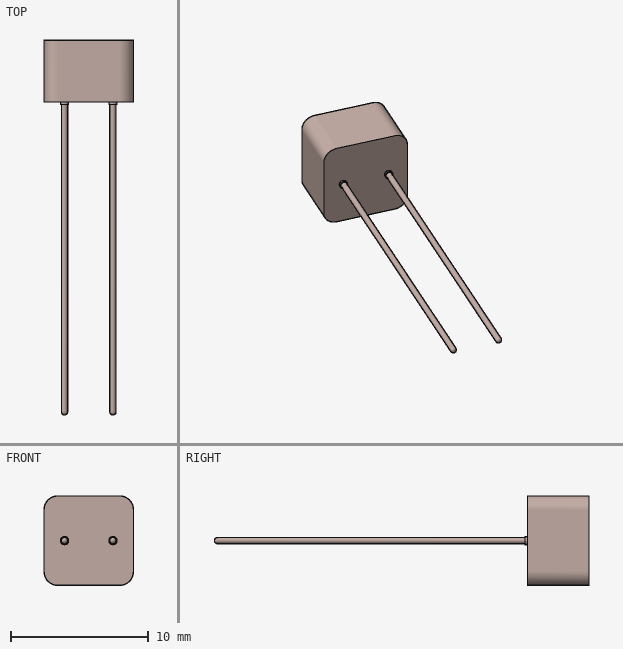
import cadquery as cq

total_length = 27.25
body_side = 6.5
body_depth = 4.5
body_corner_radius = 1.0

lead_diameter = 0.45
lead_spacing = 3.52
collar_diameter = 0.6
collar_length = 0.15

lead_radius = lead_diameter / 2
collar_radius = collar_diameter / 2
body_front_y = total_length / 2 - body_depth
collar_end_y = body_front_y - collar_length
lead_end_y = -total_length / 2
dome_center_y = lead_end_y + lead_radius


def make_body():
    """Square block with its four edges along Y rounded."""
    return (
        cq.Workplane("XZ", origin=(0, body_front_y, 0))
        .rect(body_side, body_side)
        .extrude(-body_depth)
        .edges("|Y")
        .fillet(body_corner_radius)
    )


def make_lead(x):
    """Round lead with a short collar at the body and a hemispherical tip."""
    diagonal = lead_radius * 0.5 ** 0.5
    return (
        cq.Workplane("XY", origin=(x, 0, 0))
        .moveTo(0, body_front_y)
        .lineTo(collar_radius, body_front_y)
        .lineTo(collar_radius, collar_end_y)
        .lineTo(lead_radius, collar_end_y)
        .lineTo(lead_radius, dome_center_y)
        .threePointArc((diagonal, dome_center_y - diagonal), (0, lead_end_y))
        .close()
        .revolve(360, (0, 0, 0), (0, 1, 0))
    )


result = make_body()
for side in (-1, 1):
    result = result.union(make_lead(side * lead_spacing / 2))